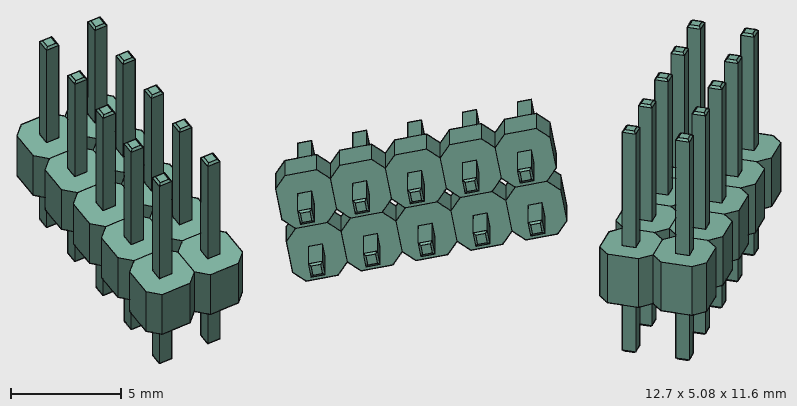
import cadquery as cq

COLUMNS = 5
ROWS = 2
PITCH = 2.54

BLOCK_HEIGHT = PITCH
CORNER_CUT = 0.53

PIN_WIDTH = 0.65
PIN_LENGTH = 11.55
PIN_TAIL = 3.0
TIP_CHAMFER = 0.1


def make_block():
    """Octagonal block standing on Z = 0, as wide as the pitch."""
    return (
        cq.Workplane("XY")
        .box(PITCH, PITCH, BLOCK_HEIGHT, centered=(True, True, False))
        .edges("|Z")
        .chamfer(CORNER_CUT)
    )


def make_pin():
    """Square pin running through the block, with both tips chamfered."""
    return (
        cq.Workplane("XY")
        .workplane(offset=-PIN_TAIL)
        .rect(PIN_WIDTH, PIN_WIDTH)
        .extrude(PIN_LENGTH)
        .faces("<Z or >Z")
        .chamfer(TIP_CHAMFER)
    )


def make_cell(column, row):
    """One header cell, its block and pin in one piece, at its place in the grid."""
    x = (column - (COLUMNS - 1) / 2) * PITCH
    y = (row - (ROWS - 1) / 2) * PITCH
    return make_block().union(make_pin()).translate((x, y, 0))


cells = [
    make_cell(column, row).val()
    for row in range(ROWS)
    for column in range(COLUMNS)
]

result = cq.Compound.makeCompound(cells)